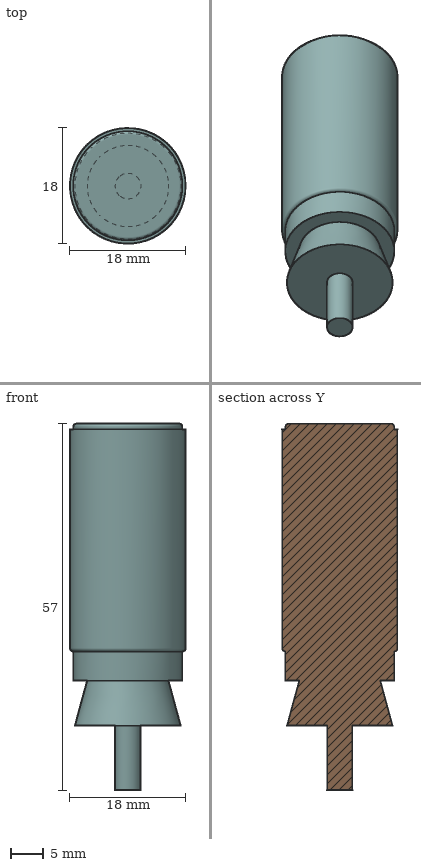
import cadquery as cq

total_height = 57.0
body_diameter = 18.0

cable_diameter = 4.0
cable_length = 10.05

gland_height = 7.0
gland_bottom_diameter = 16.5
gland_top_diameter = 12.65

collar_diameter = 17.0
collar_height = 4.5

cap_height = 0.9
cap_fillet = 0.5
body_bottom_fillet = 0.5

gland_base = cable_length
collar_base = gland_base + gland_height
body_base = collar_base + collar_height
cap_base = total_height - cap_height


def cylinder(diameter, bottom, top):
    """Upright cylinder on the Z axis between two heights."""
    return cq.Workplane("XY").workplane(offset=bottom).circle(diameter / 2).extrude(top - bottom)


cable = cylinder(cable_diameter, 0, gland_base)

gland = (
    cq.Workplane("XY")
    .workplane(offset=gland_base)
    .circle(gland_bottom_diameter / 2)
    .workplane(offset=gland_height)
    .circle(gland_top_diameter / 2)
    .loft(ruled=True)
)

collar = cylinder(collar_diameter, collar_base, body_base)

body = cylinder(body_diameter, body_base, cap_base).faces("<Z").edges().fillet(body_bottom_fillet)

cap = cylinder(collar_diameter, cap_base, total_height).faces(">Z").edges().fillet(cap_fillet)

result = cable.union(gland).union(collar).union(body).union(cap)